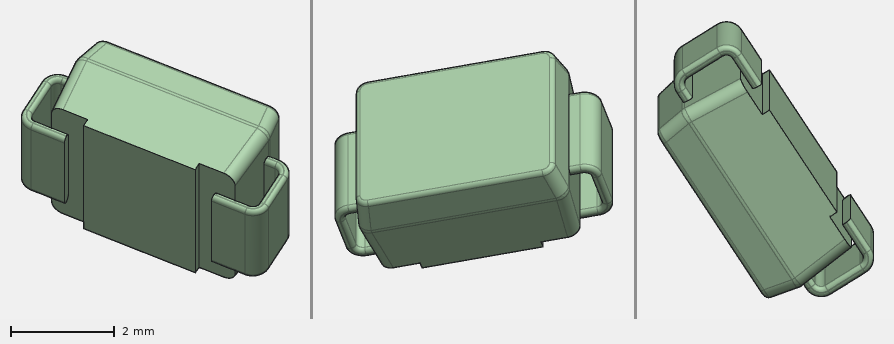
import cadquery as cq
import math

SPAN_X = 5.32
HEIGHT_Y = 2.17

BODY_X = 4.2
BODY_Z = 3.4
PARTING_Y = 1.477
PAD_Y = 0.067
LEDGE_Y = 0.23
PAD_X = 2.42
LOWER_DRAFT = 5.0
UPPER_DRAFT = 10.0
SIDE_RADIUS = 0.25
TOP_RADIUS = 0.1

LEAD_THICKNESS = 0.2
LEAD_WIDTH = 2.0
LEAD_FOOT = 1.067
FOOT_END_ANGLE = 5.0
BEND_OUTER_RADIUS = 0.34
LEAD_EDGE_RADIUS = 0.095
LEAD_EMBED = 0.3


def drafted_half(height, draft):
    """Half of the body: a block on the parting plane, narrowing away from it along +Y or -Y."""
    direction = math.copysign(1, height)
    plane = cq.Plane(origin=(0, PARTING_Y, 0), xDir=(1, 0, 0), normal=(0, direction, 0))
    return (
        cq.Workplane(plane)
        .rect(BODY_X, BODY_Z)
        .extrude(abs(height), taper=draft)
    )


def make_body():
    """Two drafted halves joined at the parting plane, with rounded edges and end ledges."""
    lower = drafted_half(PAD_Y - PARTING_Y, LOWER_DRAFT)
    upper = drafted_half(HEIGHT_Y - PARTING_Y, UPPER_DRAFT)
    body = lower.union(upper)

    flat_rims = cq.StringSyntaxSelector(">Y or <Y")
    side_edges = cq.selectors.InverseSelector(flat_rims)
    body = body.edges(side_edges).fillet(SIDE_RADIUS)
    body = body.faces(">Y").edges().fillet(TOP_RADIUS)
    return cut_end_ledges(body)


def cut_end_ledges(body):
    """Raise the underside beyond the central pad to make room for the lead feet."""
    for side in (-1, 1):
        relief = cq.Workplane("XY").box(BODY_X, 2 * LEDGE_Y, 2 * BODY_Z)
        body = body.cut(relief.translate((side * (PAD_X + BODY_X) / 2, 0, 0)))
    return body


def make_left_lead():
    """C-shaped strip: foot under the body, upright, and a shoulder running into the body."""
    outer_x = -SPAN_X / 2
    bend_x = outer_x + BEND_OUTER_RADIUS
    bend_inner_radius = BEND_OUTER_RADIUS - LEAD_THICKNESS
    inner_x = outer_x + LEAD_THICKNESS
    foot_x = outer_x + LEAD_FOOT
    foot_end_lean = LEAD_THICKNESS * math.tan(math.radians(FOOT_END_ANGLE))
    shoulder_x = -BODY_X / 2 + LEAD_EMBED
    low_bend_y = BEND_OUTER_RADIUS
    high_bend_y = PARTING_Y - BEND_OUTER_RADIUS
    diagonal = math.sqrt(0.5)

    def on_bend(radius, centre_y, direction):
        return bend_x - radius * diagonal, centre_y + direction * radius * diagonal

    lead = (
        cq.Workplane("XY")
        .moveTo(foot_x, 0)
        .lineTo(bend_x, 0)
        .threePointArc(on_bend(BEND_OUTER_RADIUS, low_bend_y, -1), (outer_x, low_bend_y))
        .lineTo(outer_x, high_bend_y)
        .threePointArc(on_bend(BEND_OUTER_RADIUS, high_bend_y, 1), (bend_x, PARTING_Y))
        .lineTo(shoulder_x, PARTING_Y)
        .lineTo(shoulder_x, PARTING_Y - LEAD_THICKNESS)
        .lineTo(bend_x, PARTING_Y - LEAD_THICKNESS)
        .threePointArc(on_bend(bend_inner_radius, high_bend_y, 1), (inner_x, high_bend_y))
        .lineTo(inner_x, low_bend_y)
        .threePointArc(on_bend(bend_inner_radius, low_bend_y, -1), (bend_x, LEAD_THICKNESS))
        .lineTo(foot_x - foot_end_lean, LEAD_THICKNESS)
        .close()
        .extrude(LEAD_WIDTH / 2, both=True)
    )
    foot_end = cq.StringSyntaxSelector(">X")
    side_rims = lead.faces("<Z or >Z").edges(cq.selectors.InverseSelector(foot_end))
    return side_rims.fillet(LEAD_EDGE_RADIUS)


left_lead = make_left_lead()
right_lead = left_lead.mirror("YZ")
result = make_body().union(left_lead).union(right_lead)